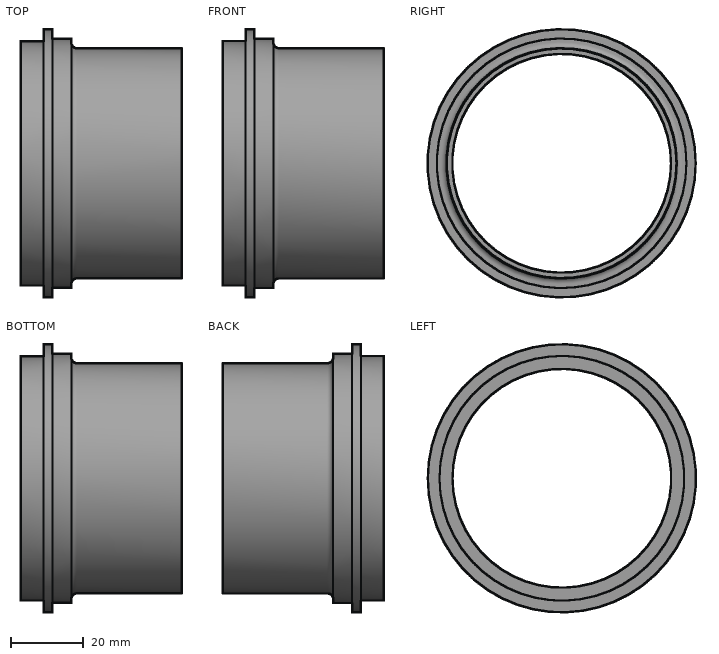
import cadquery as cq

bore_diameter = 60.2
tube_diameter = 63.5
spigot_diameter = 67.45
collar_diameter = 68.8
flange_diameter = 73.95

total_length = 44.45
spigot_length = 6.35
flange_thickness = 2.4
collar_length = 5.25

fillet_radius = 1.55
end_chamfer = 0.15

flange_end = spigot_length + flange_thickness
collar_end = flange_end + collar_length


def cylinder(start, end, diameter):
    """Solid cylinder about the X axis between two X positions."""
    return cq.Workplane("YZ", origin=(start, 0, 0)).circle(diameter / 2).extrude(end - start)


def root_fillet():
    """Concave ring easing the tube into the collar face."""
    tube_radius = tube_diameter / 2
    outer_radius = tube_radius + fillet_radius
    fillet_end = collar_end + fillet_radius
    arc_offset = fillet_radius * (1 - 0.5**0.5)
    return (
        cq.Workplane("XY")
        .moveTo(collar_end, 0)
        .lineTo(collar_end, outer_radius)
        .threePointArc((collar_end + arc_offset, tube_radius + arc_offset), (fillet_end, tube_radius))
        .lineTo(fillet_end, 0)
        .close()
        .revolve(360, (0, 0, 0), (1, 0, 0))
    )


spigot = cylinder(0, spigot_length, spigot_diameter)
flange = cylinder(spigot_length, flange_end, flange_diameter)
collar = cylinder(flange_end, collar_end, collar_diameter)
tube = cylinder(collar_end, total_length, tube_diameter).faces(">X").edges().chamfer(end_chamfer)
body = spigot.union(flange).union(collar).union(tube).union(root_fillet())

result = body.cut(cylinder(0, total_length, bore_diameter))